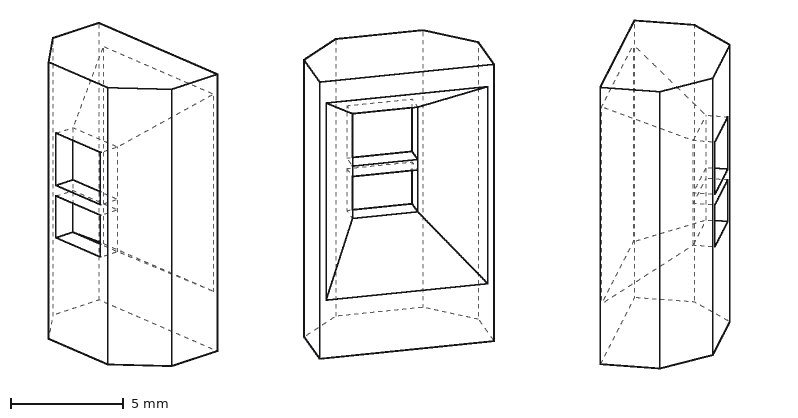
import cadquery as cq

width = 8.0
depth = 4.7
height = 13.25
corner_cut = 2.0

front_wall = 1.0
window_width = 3.0
lower_window_bottom = 5.0
lower_window_height = 2.0
bar_height = 0.5
upper_window_height = 2.5
upper_window_bottom = lower_window_bottom + lower_window_height + bar_height

flare = 2.21
throat_height = lower_window_height + bar_height + upper_window_height
throat_middle = lower_window_bottom + throat_height / 2


def make_block():
    """Upright block with both front vertical corners cut at 45 degrees."""
    block = cq.Workplane("XY").box(width, depth, height, centered=(True, False, False))
    return block.faces("<Y").edges("|Z").chamfer(corner_cut)


def make_window(bottom, window_height):
    """Rectangular cutter through the front wall."""
    cutter = cq.Workplane("XY").box(
        window_width, front_wall, window_height, centered=(True, False, False)
    )
    return cutter.translate((0, 0, bottom))


def make_funnel():
    """Tapered cutter from the back of the front wall to the open back face."""
    throat_plane = cq.Plane(origin=(0, front_wall, throat_middle), xDir=(-1, 0, 0), normal=(0, 1, 0))
    return (
        cq.Workplane(throat_plane)
        .rect(window_width, throat_height)
        .workplane(offset=depth - front_wall)
        .rect(window_width + 2 * flare, throat_height + 2 * flare)
        .loft(ruled=True)
    )


result = make_block().cut(make_funnel())
for bottom, window_height in (
    (lower_window_bottom, lower_window_height),
    (upper_window_bottom, upper_window_height),
):
    result = result.cut(make_window(bottom, window_height))